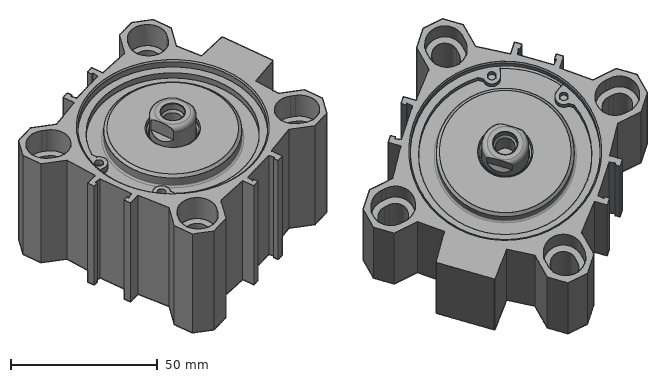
import cadquery as cq
import math

HALF_WIDTH = 40.0
BODY_HEIGHT = 46.95
BOSS_FACE_START = 27.3
BOSS_FACE_END = 34.7
WALL_END = (33.6, 20.9)
WALL_MIDDLE = (34.5, 8.8)

RAIL_REACH = 39.05
RAIL_HALF_WIDTH = 8.8
RAIL_SEAT = 32.7
RAIL_FLOOR = 35.0
RAIL_FLOOR_HALF_WIDTH = 6.45
RAIL_LIP_THICKNESS = 1.9
RAIL_LIP_HALF_GAP = 6.1
RAIL_UNDERCUT_HALF_WIDTH = 6.8

PORT_REACH = 46.0
PORT_ROOT = 32.7
PORT_ROOT_HALF_WIDTH = 11.2
PORT_TIP_HALF_WIDTH = 10.5
PORT_EDGE_CHAMFER = 0.3

BOLT_OFFSET = 30.5
BOLT_STRETCH = 1.7
BOLT_HOLE_DIAMETER = 8.95
BOLT_HEAD_DIAMETER = 13.7
BOLT_HEAD_DEPTH = 10.0

RECESS_DIAMETER = 64.7
RECESS_CHAMFER = 0.5
RING_GROOVE_DIAMETER = 68.2
RING_TOP_DEPTH = 3.0
RING_THICKNESS = 2.5

FLANGE_THICKNESS = 5.0
HUB_DIAMETER = 47.0
HUB_TOP_DEPTH = 0.7
HUB_CHAMFER_WIDTH = 1.1
HUB_CHAMFER_HEIGHT = 0.9
HUB_ROOT_FILLET = 0.7
ROD_HOLE_DIAMETER = 16.5
ROD_HOLE_MOUTH_DIAMETER = 18.0
ROD_HOLE_MOUTH_DEPTH = 1.0
ROD_HOLE_CHAMFER = 0.4

RING_INNER_DIAMETER = 59.0
EAR_X = 12.8
EAR_Y = -26.1
EAR_DIAMETER = 6.0
EAR_HOLE_DIAMETER = 3.0
EAR_SHOULDER_Y = -24.1

ROD_DIAMETER = 16.0
ROD_TOP = 54.0
ROD_EDGE_FILLET = 1.9
FLAT_SPACING = 13.0
FLAT_BOTTOM = 48.4
THREAD_DIAMETER = 6.6
THREAD_DEPTH = 12.9
MOUTH_DIAMETER = 8.25
MOUTH_DEPTH = 2.8
MOUTH_CHAMFER = 0.2

RING_TOP = BODY_HEIGHT - RING_TOP_DEPTH
FLANGE_TOP = RING_TOP - RING_THICKNESS
RECESS_FLOOR = FLANGE_TOP - FLANGE_THICKNESS
HUB_TOP = BODY_HEIGHT - HUB_TOP_DEPTH


def disc(diameter, bottom, top):
    """Cylinder on the Z axis between two heights."""
    return cq.Workplane("XY").workplane(offset=bottom).circle(diameter / 2).extrude(top - bottom)


def prism(points, bottom, top):
    """Vertical prism of a closed polygon between two heights."""
    return cq.Workplane("XY").workplane(offset=bottom).polyline(points).close().extrude(top - bottom)


def rotated(x, y, quarter_turns):
    for _ in range(quarter_turns):
        x, y = -y, x
    return x, y


def housing_block():
    """Square body with a bevelled boss on each corner."""
    half_corner = [
        WALL_MIDDLE,
        WALL_END,
        (HALF_WIDTH, BOSS_FACE_START),
        (HALF_WIDTH, BOSS_FACE_END),
    ]
    corner = half_corner + [(y, x) for x, y in reversed(half_corner)]
    outline = [rotated(x, y, turn) for turn in range(4) for x, y in corner]
    return prism(outline, 0, BODY_HEIGHT)


def rail():
    """Slotted mounting rail on the -Y side."""
    lip_inside = RAIL_REACH - RAIL_LIP_THICKNESS
    half = [
        (RAIL_HALF_WIDTH, -RAIL_SEAT),
        (RAIL_HALF_WIDTH, -RAIL_REACH),
        (RAIL_LIP_HALF_GAP, -RAIL_REACH),
        (RAIL_LIP_HALF_GAP, -lip_inside),
        (RAIL_UNDERCUT_HALF_WIDTH, -lip_inside),
        (RAIL_FLOOR_HALF_WIDTH, -RAIL_FLOOR),
    ]
    outline = half + [(-x, y) for x, y in reversed(half)]
    return prism(outline, 0, BODY_HEIGHT)


def port_block():
    outline = [
        (-PORT_ROOT_HALF_WIDTH, PORT_ROOT),
        (PORT_ROOT_HALF_WIDTH, PORT_ROOT),
        (PORT_TIP_HALF_WIDTH, PORT_REACH),
        (-PORT_TIP_HALF_WIDTH, PORT_REACH),
    ]
    return prism(outline, 0, BODY_HEIGHT).edges("|Z and >Y").chamfer(PORT_EDGE_CHAMFER)


def bolt_slot():
    """Counterbored through slot in the +X+Y corner."""
    def slot(diameter, bottom):
        return (
            cq.Workplane("XY", origin=(BOLT_OFFSET, BOLT_OFFSET, bottom))
            .slot2D(diameter + BOLT_STRETCH, diameter, 45)
            .extrude(BODY_HEIGHT - bottom)
        )
    return slot(BOLT_HOLE_DIAMETER, 0).union(slot(BOLT_HEAD_DIAMETER, BODY_HEIGHT - BOLT_HEAD_DEPTH))


def make_housing():
    body = housing_block().union(port_block())
    for angle in (-90, 0, 90):
        body = body.union(rail().rotate((0, 0, 0), (0, 0, 1), angle))
    for angle in (0, 90, 180, 270):
        body = body.cut(bolt_slot().rotate((0, 0, 0), (0, 0, 1), angle))
    recess = disc(RECESS_DIAMETER, RECESS_FLOOR, BODY_HEIGHT)
    mouth = cq.Solid.makeCone(
        RECESS_DIAMETER / 2,
        RECESS_DIAMETER / 2 + RECESS_CHAMFER,
        RECESS_CHAMFER,
        pnt=cq.Vector(0, 0, BODY_HEIGHT - RECESS_CHAMFER),
    )
    groove = disc(RING_GROOVE_DIAMETER, FLANGE_TOP, RING_TOP)
    return body.cut(recess).cut(mouth).cut(groove)


def make_cover():
    """Stepped disc turned about the Z axis, with a bore for the rod."""
    hub_radius = HUB_DIAMETER / 2
    hole_radius = ROD_HOLE_DIAMETER / 2
    mouth_radius = ROD_HOLE_MOUTH_DIAMETER / 2
    mouth_floor = HUB_TOP - ROD_HOLE_MOUTH_DEPTH
    fillet_bend = HUB_ROOT_FILLET * (1 - math.sqrt(0.5))
    return (
        cq.Workplane("XZ")
        .moveTo(hole_radius, RECESS_FLOOR)
        .lineTo(RECESS_DIAMETER / 2, RECESS_FLOOR)
        .lineTo(RECESS_DIAMETER / 2, FLANGE_TOP)
        .lineTo(hub_radius + HUB_ROOT_FILLET, FLANGE_TOP)
        .threePointArc(
            (hub_radius + fillet_bend, FLANGE_TOP + fillet_bend),
            (hub_radius, FLANGE_TOP + HUB_ROOT_FILLET),
        )
        .lineTo(hub_radius, HUB_TOP - HUB_CHAMFER_HEIGHT)
        .lineTo(hub_radius - HUB_CHAMFER_WIDTH, HUB_TOP)
        .lineTo(mouth_radius + ROD_HOLE_CHAMFER, HUB_TOP)
        .lineTo(mouth_radius, HUB_TOP - ROD_HOLE_CHAMFER)
        .lineTo(mouth_radius, mouth_floor)
        .lineTo(hole_radius, mouth_floor - (mouth_radius - hole_radius))
        .close()
        .revolve(360, (0, 0, 0), (0, 1, 0))
    )


def make_retaining_ring():
    """Open ring with a drilled ear at each end of the gap."""
    ear_radius = EAR_DIAMETER / 2
    ear_distance = math.hypot(EAR_X, EAR_Y)
    edge_angle = math.atan2(EAR_X, -EAR_Y) - math.asin(ear_radius / ear_distance)
    touch_distance = math.sqrt(ear_distance**2 - ear_radius**2)

    def on_gap_edge(distance):
        return distance * math.sin(edge_angle), -distance * math.cos(edge_angle)

    blank = disc(RING_GROOVE_DIAMETER, FLANGE_TOP, RING_TOP)
    ring = blank.cut(disc(RING_INNER_DIAMETER, FLANGE_TOP, RING_TOP))
    gap_x, gap_y = on_gap_edge(RING_GROOVE_DIAMETER)
    ring = ring.cut(prism([(0, 0), (gap_x, gap_y), (-gap_x, gap_y)], FLANGE_TOP, RING_TOP))
    shoulder_x = math.sqrt((RING_INNER_DIAMETER / 2) ** 2 - EAR_SHOULDER_Y**2)
    web_outline = [
        (EAR_X, EAR_Y),
        (EAR_X, EAR_SHOULDER_Y),
        (shoulder_x, EAR_SHOULDER_Y),
        (shoulder_x, gap_y),
        (gap_x, gap_y),
        on_gap_edge(touch_distance),
    ]
    web = prism(web_outline, FLANGE_TOP, RING_TOP).intersect(blank)
    ear = disc(EAR_DIAMETER, FLANGE_TOP, RING_TOP).translate((EAR_X, EAR_Y, 0))
    ear_hole = disc(EAR_HOLE_DIAMETER, FLANGE_TOP, RING_TOP).translate((EAR_X, EAR_Y, 0))
    lug = web.union(ear)
    ring = ring.union(lug).union(lug.mirror("YZ"))
    return ring.cut(ear_hole).cut(ear_hole.mirror("YZ"))


def wrench_flat():
    """Material removed for the flat on the +Y side, ending in a 45 degree ramp."""
    flat_y = FLAT_SPACING / 2
    reach = ROD_DIAMETER
    return (
        cq.Workplane("YZ")
        .polyline([
            (flat_y, ROD_TOP),
            (flat_y, FLAT_BOTTOM),
            (reach, FLAT_BOTTOM - (reach - flat_y)),
            (reach, ROD_TOP),
        ])
        .close()
        .extrude(ROD_DIAMETER / 2, both=True)
    )


def rod_socket():
    """Threaded-hole space: chamfered mouth, wide entry and a cone down to the core hole."""
    thread_radius = THREAD_DIAMETER / 2
    mouth_radius = MOUTH_DIAMETER / 2
    mouth_floor = ROD_TOP - MOUTH_DEPTH
    return (
        cq.Workplane("XZ")
        .polyline([
            (0, ROD_TOP),
            (mouth_radius + MOUTH_CHAMFER, ROD_TOP),
            (mouth_radius, ROD_TOP - MOUTH_CHAMFER),
            (mouth_radius, mouth_floor),
            (thread_radius, mouth_floor - (mouth_radius - thread_radius)),
            (thread_radius, ROD_TOP - THREAD_DEPTH),
            (0, ROD_TOP - THREAD_DEPTH),
        ])
        .close()
        .revolve(360, (0, 0, 0), (0, 1, 0))
    )


def make_rod():
    rod = disc(ROD_DIAMETER, RECESS_FLOOR, ROD_TOP).faces(">Z").edges().fillet(ROD_EDGE_FILLET)
    for angle in (0, 180):
        rod = rod.cut(wrench_flat().rotate((0, 0, 0), (0, 0, 1), angle))
    return rod.cut(rod_socket())


housing = make_housing()
cover = make_cover()
retaining_ring = make_retaining_ring()
rod = make_rod()

result = cq.Compound.makeCompound([housing.val(), cover.val(), retaining_ring.val(), rod.val()])